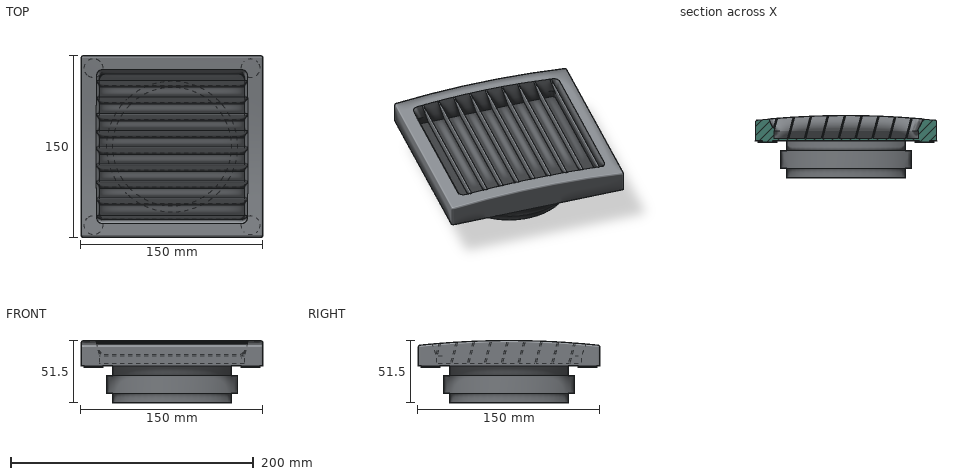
import cadquery as cq
import math

frame_side = 150.0
crown_height = 21.0
edge_height = 17.0
frame_fillet = 2.0

recess_side = 119.6
recess_corner = 3.0
flare_corner = 5.0
floor_height = 2.0
flare_start = 8.0
flare_width_x = 125.4
flare_width_y = 129.1

slat_count = 9
slat_pitch = 13.9
slat_thickness = 1.2
slat_lean = 15.0
middle_slat_foot = -6.6

spigot_diameter = 98.0
spigot_length = 30.5
collar_diameter = 108.0
collar_drop = 8.0
collar_height = 14.7

pad_diameter = 15.5
pad_thickness = 1.3
pad_spacing = 129.5


def make_frame():
    half = frame_side / 2
    blank = (
        cq.Workplane("YZ")
        .moveTo(-half, 0)
        .lineTo(half, 0)
        .lineTo(half, edge_height)
        .threePointArc((0, crown_height), (-half, edge_height))
        .close()
        .extrude(half, both=True)
    )
    blank = blank.edges("|Z").fillet(frame_fillet)
    return blank.faces(">Z").edges().fillet(frame_fillet)


def flared_prism(plane, crown_width):
    """Trapezoid prism widening from the recess side to its width at crown height."""
    lower_half = recess_side / 2
    upper_half = crown_width / 2
    return (
        cq.Workplane(plane)
        .moveTo(-lower_half, flare_start)
        .lineTo(lower_half, flare_start)
        .lineTo(upper_half, crown_height)
        .lineTo(-upper_half, crown_height)
        .close()
        .extrude(frame_side / 2, both=True)
    )


def make_recess():
    flare = flared_prism("XZ", flare_width_x).intersect(flared_prism("YZ", flare_width_y))
    flare = flare.edges("not #Z").fillet(flare_corner)
    straight = (
        cq.Workplane("XY", origin=(0, 0, floor_height))
        .rect(recess_side, recess_side)
        .extrude(flare_start - floor_height)
        .edges("|Z")
        .fillet(recess_corner)
    )
    return straight.union(flare)


def dome_height(y):
    """Height of the domed top above the frame underside at the given Y."""
    sagitta = crown_height - edge_height
    radius = ((frame_side / 2) ** 2 + sagitta ** 2) / (2 * sagitta)
    return crown_height - radius + math.sqrt(radius ** 2 - y ** 2)


def make_slat(foot_y):
    """Leaning slat with a rounded top edge that reaches the dome."""
    lean = math.radians(slat_lean)
    nose_radius = slat_thickness / 2
    along_y, along_z = math.sin(lean), math.cos(lean)
    foot_width = slat_thickness / along_z
    nominal_top_y = foot_y + (edge_height - floor_height) * math.tan(lean)
    length = (dome_height(nominal_top_y) - floor_height) / along_z - nose_radius
    front_top = (foot_y + length * along_y, floor_height + length * along_z)
    back_top = (front_top[0] + slat_thickness * along_z, front_top[1] - slat_thickness * along_y)
    nose_tip = (
        (front_top[0] + back_top[0]) / 2 + nose_radius * along_y,
        (front_top[1] + back_top[1]) / 2 + nose_radius * along_z,
    )
    return (
        cq.Workplane("YZ")
        .moveTo(foot_y, floor_height)
        .lineTo(*front_top)
        .threePointArc(nose_tip, back_top)
        .lineTo(foot_y + foot_width, floor_height)
        .close()
        .extrude(frame_side / 2, both=True)
    )


def make_louvers():
    slats = cq.Workplane("XY")
    for index in range(slat_count):
        offset = index - (slat_count - 1) / 2
        slats = slats.add(make_slat(middle_slat_foot + offset * slat_pitch))
    return slats.combine()


def make_spigot():
    tube = cq.Workplane("XY").circle(spigot_diameter / 2).extrude(-spigot_length)
    collar = (
        cq.Workplane("XY", origin=(0, 0, -collar_drop))
        .circle(collar_diameter / 2)
        .extrude(-collar_height)
    )
    return tube.union(collar)


def make_pads():
    return (
        cq.Workplane("XY")
        .rect(pad_spacing, pad_spacing, forConstruction=True)
        .vertices()
        .circle(pad_diameter / 2)
        .extrude(-pad_thickness)
    )


frame = make_frame()
louvers = make_louvers().intersect(frame)
recessed_frame = frame.cut(make_recess())
result = recessed_frame.union(louvers).union(make_spigot()).union(make_pads())